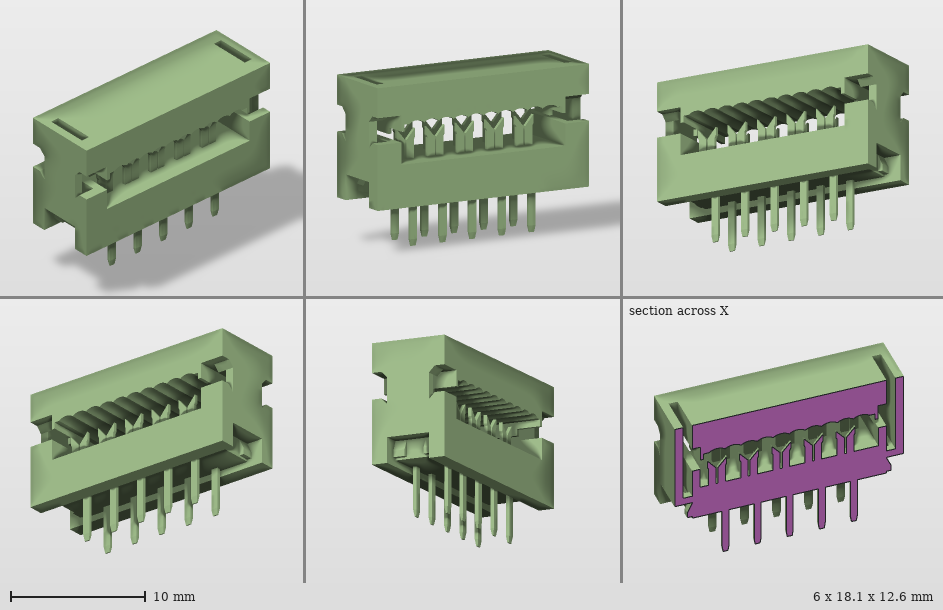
import cadquery as cq


body_length = 18.15
body_width = 6.0
body_height = 9.27
half_length = body_length / 2

base_height = 4.97
channel_floor = 3.29
underside_depth = 0.49

arm_width = 3.45
arm_thickness = 0.67
arm_bottom = 1.96
end_depth = 1.38
shoulder_drop = 0.49
foot_height = 0.65
foot_notch_width = 1.58
foot_notch_depth = 0.4
foot_notch_floor = 0.33

catch_depth = 0.38
catch_bottom = 0.65
catch_edge = 1.15

cap_bottom = 7.0
prong_bottom = 5.79
prong_tip = 5.28
prong_middle_width = 2.18
prong_thickness = 0.27
prong_depth = 2.03
comb_bottom = 6.3
scallop_rise = 0.22

pitch = 1.27
contact_count = 10
row_offset = pitch
contact_thickness = 0.29
tine_width = 0.62
tine_gap = 0.13
tine_shoulder = 4.75
tine_flare = 0.09
flare_height = 0.18
tine_top = 5.59
pin_shift = 0.67
pin_width = 0.58
pin_length = 3.32
pin_taper_length = 0.53
pin_tip_width = 0.42
pin_tip_thickness = 0.1


def block(x_size, y_min, y_max, z_min, z_max, x_mid=0.0):
    """Box centred on x_mid, between the given Y and Z limits."""
    box = cq.Workplane("XY").box(x_size, y_max - y_min, z_max - z_min, centered=(True, False, False))
    return box.translate((x_mid, y_min, z_min))


def across(profile, x_size, x_mid=0.0):
    """Extrude a closed YZ profile to x_size, centred on x_mid."""
    return profile.extrude(x_size / 2, both=True).translate((x_mid, 0, 0))


def both_ends(solid):
    """A shape at the -Y end together with its mirror image at the +Y end."""
    return solid.union(solid.mirror("XZ"))


def end_trapezoid(top, depth):
    """Block at the -Y end that narrows at 45 degrees from top down to the arm width."""
    half_arm = arm_width / 2
    points = [
        (-half_arm - shoulder_drop, top),
        (half_arm + shoulder_drop, top),
        (half_arm, top - shoulder_drop),
        (-half_arm, top - shoulder_drop),
    ]
    profile = cq.Workplane("XZ", origin=(0, -half_length, 0)).polyline(points).close()
    return profile.extrude(-depth)


def make_base():
    base = block(body_width, -half_length, half_length, 0, base_height)
    channel_end = half_length - prong_depth
    base = base.cut(block(body_width, -channel_end, channel_end, channel_floor, base_height))
    base = base.cut(block(arm_width, -half_length, half_length, 0, underside_depth))

    pocket = block(arm_width, -half_length, end_depth - half_length, 0, base_height)
    pocket = pocket.union(end_trapezoid(base_height, end_depth))
    return base.cut(both_ends(pocket))


def make_catches():
    """Pairs of catches on the pocket walls, with their tops sloping down towards the ends."""
    catch_width = (arm_width - foot_notch_width) / 2
    catch_x = (arm_width - catch_width) / 2
    wall = end_depth - half_length
    outer_face = wall - catch_depth
    points = [
        (wall, catch_bottom),
        (outer_face, catch_bottom),
        (outer_face, catch_edge),
        (wall, arm_bottom),
    ]
    catches = cq.Workplane("XY")
    for x_mid in (-catch_x, catch_x):
        profile = cq.Workplane("YZ").polyline(points).close()
        catches = catches.union(across(profile, catch_width, x_mid))
    return both_ends(catches)


def make_cap():
    """Cap with a comb of scallops underneath, one over each wire, between two prongs."""
    prong_outer = half_length - prong_depth
    prong_inner = prong_outer - prong_thickness
    comb_end = contact_count * pitch / 2

    profile = (
        cq.Workplane("YZ")
        .moveTo(-half_length, body_height)
        .lineTo(-half_length, cap_bottom)
        .lineTo(-prong_outer, cap_bottom)
        .lineTo(-prong_outer, prong_bottom)
        .lineTo(-prong_inner, prong_bottom)
        .lineTo(-prong_inner, comb_bottom)
        .lineTo(-comb_end, comb_bottom)
    )
    for i in range(contact_count):
        start = i * pitch - comb_end
        crown = (start + pitch / 2, comb_bottom + scallop_rise)
        profile = profile.threePointArc(crown, (start + pitch, comb_bottom))
    profile = (
        profile.lineTo(prong_inner, comb_bottom)
        .lineTo(prong_inner, prong_bottom)
        .lineTo(prong_outer, prong_bottom)
        .lineTo(prong_outer, cap_bottom)
        .lineTo(half_length, cap_bottom)
        .lineTo(half_length, body_height)
        .close()
    )
    cap = across(profile, body_width)

    prong_middle = block(prong_middle_width, -prong_outer, -prong_inner, prong_tip, prong_bottom)
    shoulder = end_trapezoid(cap_bottom, end_depth)
    cap = cap.union(both_ends(prong_middle)).union(both_ends(shoulder))

    slot_bottom = cap_bottom - shoulder_drop
    slot = block(arm_width, arm_thickness - half_length, end_depth - half_length, slot_bottom, body_height)
    return cap.cut(both_ends(slot))


def make_arms():
    """Latch arms at the ends, each with a notched foot pointing inwards."""
    foot_end = end_depth - half_length
    arm = block(arm_width, -half_length, arm_thickness - half_length, arm_bottom, cap_bottom)
    foot_top = arm_bottom + foot_height
    foot = block(arm_width, -half_length, foot_end, arm_bottom, foot_top)
    notch_floor = arm_bottom + foot_notch_floor
    notch = block(foot_notch_width, foot_end - foot_notch_depth, foot_end, notch_floor, foot_top)
    return both_ends(arm.union(foot.cut(notch)))


def make_contact(y_mid, x_mid, pin_side):
    """Two pointed tines around y_mid, and a tapered pin offset towards pin_side (+1 or -1) in Y."""
    contact = cq.Workplane("XY")
    inner = tine_gap / 2
    outer = inner + tine_width
    tip = outer + tine_flare
    for side in (-1, 1):
        tine = (
            cq.Workplane("YZ")
            .moveTo(y_mid + side * inner, underside_depth)
            .lineTo(y_mid + side * inner, tine_shoulder)
            .lineTo(y_mid + side * tip, tine_top)
            .lineTo(y_mid + side * tip, tine_shoulder + flare_height)
            .lineTo(y_mid + side * outer, tine_shoulder)
            .lineTo(y_mid + side * outer, underside_depth)
            .close()
        )
        contact = contact.union(across(tine, contact_thickness, x_mid))

    pin_y = y_mid + pin_side * pin_shift
    taper_top = pin_taper_length - pin_length
    y_min = pin_y - pin_width / 2
    y_max = pin_y + pin_width / 2
    pin = block(contact_thickness, y_min, y_max, taper_top, channel_floor, x_mid)
    taper = (
        cq.Workplane("XY", origin=(x_mid, pin_y, taper_top))
        .rect(contact_thickness, pin_width)
        .workplane(offset=-pin_taper_length)
        .rect(pin_tip_thickness, pin_tip_width)
        .loft(ruled=True)
    )
    return contact.union(pin).union(taper)


result = make_base().union(make_catches()).union(make_cap()).union(make_arms())

for i in range(contact_count):
    y_mid = (i - (contact_count - 1) / 2) * pitch
    row_side = 1 if i % 2 == 0 else -1
    result = result.union(make_contact(y_mid, row_side * row_offset, row_side))